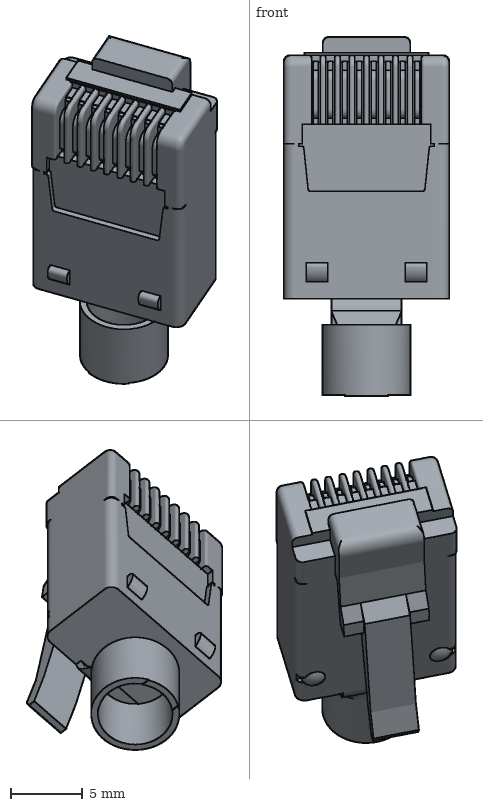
import cadquery as cq
import math


BODY_WIDTH = 11.67
BODY_DEPTH = 6.6
BODY_BOTTOM = 6.85
BODY_TOP = 24.02
UPPER_CORNER_R = 0.48
LOWER_CORNER_R = 0.7
FRONT_CORNER_STEP_Z = 17.77
BACK_CORNER_STEP_Z = 20.43
TOP_FRONT_R = 0.8
SHELF_Y = 5.15
SHELF_Z = 23.0

PLATE_WIDTH = 8.75
PLATE_FRONT_Y = 3.1
PLATE_TOP = 24.2

CONTACT_COUNT = 8
CONTACT_SPAN = 7.15
CONTACT_PITCH = CONTACT_SPAN / (CONTACT_COUNT - 1)
SLOT_WIDTH = 0.6
SLOT_BACK_Y = 2.99
SLOT_SHELF_Y = 1.85
SLOT_SHELF_Z = 23.55
SLOT_EDGE_R = 0.18
CONTACT_WIDTH = 0.35
CONTACT_FRONT_Y = 0.45
CONTACT_UPPER_R = 0.68
CONTACT_UPPER_Z = 22.95
CONTACT_LOWER_R = 0.6
CONTACT_LOWER_Z = 19.6
CONTACT_TOP = 23.6
CONTACT_POST_Y = 1.45

RECESS_DEPTH = 0.45
RECESS_TOP = 19.15
RECESS_BOTTOM = 14.43
RECESS_TOP_WIDTH = 9.05
RECESS_TAPER_WIDTH = 8.85
RECESS_BOTTOM_WIDTH = 8.2
RECESS_CORNER_R = 0.2
NOTCH_CORNER_R = 0.15
NOTCH_WIDTH = 9.55
NOTCH_HEIGHT = 0.15

LATCH_TOP = 25.3
LATCH_WIDTH = 6.18
LATCH_FRONT_Y = 4.65
LATCH_BACK_Y = 7.85
LATCH_BASE_Z = 21.03
LATCH_BACK_R = 0.94
LATCH_SIDE_R = 0.45
LATCH_ROOT_R = 0.15
LEVER_WIDTH = 3.3
SHOULDER_Z = 17.13
LATCH_BACK_FOOT = (LATCH_BACK_Y, 22.02)
LATCH_NECK_BACK = (8.28, 19.24)
LATCH_INNER_ROOT = (7.26, LATCH_BASE_Z)
LATCH_INNER_SHOULDER = (8.18, SHOULDER_Z)
SHOULDER_UPPER = (9.2, 18.27)
SHOULDER_LOWER = (9.35, SHOULDER_Z)
LEVER_TOP_BACK = (9.55, 18.4)
LEVER_BEND_BACK = (11.3, 10.35)
LEVER_BEND_INNER = (10.48, 10.1)
LEVER_TIP_BACK = (12.17, 8.45)
LEVER_END_Z = 7.95
LEVER_END_BACK = (11.97, LEVER_END_Z)
LEVER_END_INNER = (11.45, LEVER_END_Z)

FERRULE_R = 3.11
FERRULE_WALL = 0.48
FERRULE_Y = 3.21
FERRULE_TOP = 5.04
LIP_HEIGHT = 0.08
LIP_WIDTH = 3.04
LIP_BACK_Y = 1.11
NECK_WIDTH = 4.95
NECK_TOP_FRONT_Y = 6.13
NECK_BEND_FRONT = (5.9, 6.33)
NECK_BEND_BACK = (6.5, 6.48)
NECK_END_Z = 6.02
NECK_FRONT_Y = 5.82
NECK_BACK_Y = 6.33
SCOOP_FRONT_Y = 4.85
SCOOP_FRONT_WIDTH = 4.15

HOOK_X = 3.5
HOOK_WIDTH = 1.5
HOOK_TOP = 9.4
HOOK_BOTTOM = 8.07
HOOK_REACH = 0.53
HOOK_TIP_R = 0.28
HOOK_BELLY = (-0.35, 8.43)
BUTTON_X = 4.55
BUTTON_Z = 9.21
BUTTON_R = 0.75
BUTTON_HEIGHT = 0.25
GROOVE_HEIGHT = 0.58
GROOVE_DEPTH = 0.48

OVERLAP = 0.13


def box(width, y_range, z_range, x=0):
    """Block centred on x, between two Y values and two Z values."""
    depth = y_range[1] - y_range[0]
    height = z_range[1] - z_range[0]
    corner = (x - width / 2, y_range[0], z_range[0])
    return cq.Workplane("XY").box(width, depth, height, centered=False).translate(corner)


def extrude_side(profile, width, x=0):
    """Extrude a closed (Y, Z) profile to a width centred on x."""
    return profile.close().extrude(width / 2, both=True).translate((x, 0, 0))


def housing():
    full_width = BODY_WIDTH + 0.25
    body = box(BODY_WIDTH, (0, BODY_DEPTH), (BODY_BOTTOM, BODY_TOP))
    lower = body.edges("|Z").fillet(LOWER_CORNER_R)
    upper = body.edges(">Z and <Y").fillet(TOP_FRONT_R)
    upper = upper.faces("<X or >X").edges("not(<Z or >Y)").fillet(UPPER_CORNER_R)
    upper = upper.edges("|Z and >Y").fillet(UPPER_CORNER_R)
    middle_y = BODY_DEPTH / 2
    front_lower = box(full_width, (-0.25, middle_y), (BODY_BOTTOM, FRONT_CORNER_STEP_Z))
    back_lower = box(full_width, (middle_y, BODY_DEPTH + 0.25), (BODY_BOTTOM, BACK_CORNER_STEP_Z))
    lower_zone = front_lower.union(back_lower)
    solid = upper.cut(lower_zone).union(lower.intersect(lower_zone))
    shelf = box(full_width, (SHELF_Y, BODY_DEPTH + 0.25), (SHELF_Z, BODY_TOP + 0.25))
    return solid.cut(shelf)


def contact_x_positions():
    return [i * CONTACT_PITCH - CONTACT_SPAN / 2 for i in range(CONTACT_COUNT)]


def cut_slots(body):
    for x in contact_x_positions():
        body = body.cut(box(SLOT_WIDTH, (-0.25, SLOT_SHELF_Y), (RECESS_TOP, BODY_TOP + 0.25), x))
        body = body.cut(box(SLOT_WIDTH, (-0.25, SLOT_BACK_Y), (SLOT_SHELF_Z, BODY_TOP + 0.25), x))
    half_span = (CONTACT_SPAN + SLOT_WIDTH) / 2 + 0.03
    top_zone = cq.selectors.BoxSelector(
        (-half_span, -0.25, BODY_TOP - 0.03), (half_span, SLOT_BACK_Y, BODY_TOP + 0.25))
    arc_zone = cq.selectors.BoxSelector(
        (-half_span, -0.25, BODY_TOP - TOP_FRONT_R), (half_span, TOP_FRONT_R / 2, BODY_TOP))
    front_zone = cq.selectors.BoxSelector(
        (-half_span, -0.03, RECESS_TOP), (half_span, 0.03, BODY_TOP - TOP_FRONT_R))
    mouth = (body.edges("|Y").edges(top_zone)
             .add(body.edges("%CIRCLE").edges(arc_zone))
             .add(body.edges("|Z").edges(front_zone)))
    return mouth.fillet(SLOT_EDGE_R)


def recess():
    half_top = RECESS_TOP_WIDTH / 2
    half_taper = RECESS_TAPER_WIDTH / 2
    half_bottom = RECESS_BOTTOM_WIDTH / 2
    notch_bottom = FRONT_CORNER_STEP_Z - NOTCH_HEIGHT
    pocket = (cq.Workplane("XZ")
              .moveTo(-half_bottom, RECESS_BOTTOM)
              .lineTo(half_bottom, RECESS_BOTTOM)
              .lineTo(half_taper, notch_bottom)
              .lineTo(half_top, FRONT_CORNER_STEP_Z)
              .lineTo(half_top, RECESS_TOP)
              .lineTo(-half_top, RECESS_TOP)
              .lineTo(-half_top, FRONT_CORNER_STEP_Z)
              .lineTo(-half_taper, notch_bottom)
              .close().extrude(-RECESS_DEPTH))
    pocket = pocket.edges("|Y and <Z").fillet(RECESS_CORNER_R)
    notch = box(NOTCH_WIDTH, (0, RECESS_DEPTH), (notch_bottom, FRONT_CORNER_STEP_Z))
    pocket = pocket.union(notch)
    for side in (-1, 1):
        corner = (side * half_taper, RECESS_DEPTH / 2, notch_bottom)
        pocket = pocket.edges(cq.selectors.NearestToPointSelector(corner)).fillet(NOTCH_CORNER_R)
    return pocket


def contact(x):
    back = SLOT_SHELF_Y
    upper_y = CONTACT_FRONT_Y + CONTACT_UPPER_R
    lower_y = CONTACT_FRONT_Y + CONTACT_LOWER_R
    profile = (cq.Workplane("YZ")
               .moveTo(back, RECESS_TOP - OVERLAP)
               .lineTo(lower_y, RECESS_TOP - OVERLAP)
               .lineTo(lower_y, CONTACT_LOWER_Z)
               .radiusArc((CONTACT_FRONT_Y, CONTACT_LOWER_Z + CONTACT_LOWER_R), CONTACT_LOWER_R)
               .lineTo(CONTACT_FRONT_Y, CONTACT_UPPER_Z - CONTACT_UPPER_R)
               .radiusArc((upper_y, CONTACT_UPPER_Z), CONTACT_UPPER_R)
               .lineTo(CONTACT_POST_Y, CONTACT_UPPER_Z)
               .lineTo(CONTACT_POST_Y, CONTACT_TOP)
               .lineTo(back, CONTACT_TOP))
    return extrude_side(profile, CONTACT_WIDTH, x)


def latch():
    root_y = BODY_DEPTH - OVERLAP
    block_profile = (cq.Workplane("YZ")
                     .moveTo(LATCH_FRONT_Y, SHELF_Z)
                     .lineTo(LATCH_FRONT_Y, LATCH_TOP)
                     .lineTo(LATCH_BACK_Y - LATCH_BACK_R, LATCH_TOP)
                     .radiusArc((LATCH_BACK_Y, LATCH_TOP - LATCH_BACK_R), LATCH_BACK_R)
                     .lineTo(*LATCH_BACK_FOOT)
                     .lineTo(*LATCH_NECK_BACK)
                     .lineTo(*SHOULDER_UPPER)
                     .lineTo(*SHOULDER_LOWER)
                     .lineTo(*LATCH_INNER_SHOULDER)
                     .lineTo(*LATCH_INNER_ROOT)
                     .lineTo(root_y, LATCH_BASE_Z)
                     .lineTo(root_y, SHELF_Z))
    envelope = box(LATCH_WIDTH, (0, 2 * LATCH_BACK_Y), (0, LATCH_TOP))
    envelope = envelope.edges("|Y and >Z").fillet(LATCH_SIDE_R)
    wide_part = extrude_side(block_profile, LATCH_WIDTH).intersect(envelope)
    root_corner = cq.selectors.NearestToPointSelector((0, *LATCH_INNER_ROOT))
    wide_part = wide_part.edges(root_corner).fillet(LATCH_ROOT_R)

    lever_profile = (cq.Workplane("YZ")
                     .moveTo(*LATCH_NECK_BACK)
                     .lineTo(*LEVER_TOP_BACK)
                     .lineTo(*LEVER_BEND_BACK)
                     .lineTo(*LEVER_TIP_BACK)
                     .lineTo(*LEVER_END_BACK)
                     .lineTo(*LEVER_END_INNER)
                     .lineTo(*LEVER_BEND_INNER)
                     .lineTo(*LATCH_INNER_SHOULDER))
    lever = extrude_side(lever_profile, LEVER_WIDTH)
    return lever.union(wide_part)


def ferrule():
    tube = (cq.Workplane("XY").circle(FERRULE_R).circle(FERRULE_R - FERRULE_WALL)
            .extrude(FERRULE_TOP).translate((0, FERRULE_Y, 0)))
    trim = box(3 * FERRULE_R, (-0.25, 3 * FERRULE_R), (0, LIP_HEIGHT))
    trim = trim.cut(box(LIP_WIDTH, (-0.25, LIP_BACK_Y), (0, LIP_HEIGHT)))
    return tube.cut(trim)


def neck():
    bend = (cq.Workplane("YZ")
            .moveTo(NECK_TOP_FRONT_Y, BODY_BOTTOM + OVERLAP)
            .lineTo(NECK_TOP_FRONT_Y, BODY_BOTTOM)
            .lineTo(*NECK_BEND_FRONT)
            .lineTo(NECK_FRONT_Y, NECK_END_Z)
            .lineTo(NECK_BACK_Y, NECK_END_Z)
            .lineTo(*NECK_BEND_BACK)
            .lineTo(BODY_DEPTH, BODY_BOTTOM)
            .lineTo(BODY_DEPTH, BODY_BOTTOM + OVERLAP))
    strip = extrude_side(bend, NECK_WIDTH)
    half_neck = NECK_WIDTH / 2
    half_front = SCOOP_FRONT_WIDTH / 2
    side_y = FERRULE_Y + math.sqrt(FERRULE_R**2 - half_neck**2)
    scoop = (cq.Workplane("XY").workplane(offset=FERRULE_TOP)
             .moveTo(-half_front, SCOOP_FRONT_Y)
             .lineTo(half_front, SCOOP_FRONT_Y)
             .lineTo(half_neck, side_y)
             .threePointArc((0, FERRULE_Y + FERRULE_R), (-half_neck, side_y))
             .close()
             .workplane(offset=NECK_END_Z - FERRULE_TOP)
             .moveTo(-half_neck, NECK_FRONT_Y)
             .lineTo(half_neck, NECK_FRONT_Y)
             .lineTo(half_neck, NECK_BACK_Y)
             .lineTo(-half_neck, NECK_BACK_Y)
             .close()
             .loft(ruled=True))
    return strip.union(scoop)


def hook(x):
    profile = (cq.Workplane("YZ")
               .moveTo(OVERLAP, HOOK_TOP)
               .lineTo(HOOK_TIP_R - HOOK_REACH, HOOK_TOP)
               .radiusArc((-HOOK_REACH, HOOK_TOP - HOOK_TIP_R), -HOOK_TIP_R)
               .threePointArc(HOOK_BELLY, (0, HOOK_BOTTOM))
               .lineTo(OVERLAP, HOOK_BOTTOM))
    return extrude_side(profile, HOOK_WIDTH, x)


def button_groove(side):
    """Groove that runs from a button out to the side of the housing."""
    length = BODY_WIDTH / 2 - BUTTON_X + 0.25
    z_range = (BUTTON_Z - GROOVE_HEIGHT / 2, BUTTON_Z + GROOVE_HEIGHT / 2)
    y_range = (BODY_DEPTH - GROOVE_DEPTH, BODY_DEPTH + 0.25)
    return box(length, y_range, z_range, side * (BUTTON_X + length / 2))


def button(side):
    """Low dome on the back face."""
    sphere_r = (BUTTON_R**2 + BUTTON_HEIGHT**2) / (2 * BUTTON_HEIGHT)
    centre_y = BODY_DEPTH + BUTTON_HEIGHT - sphere_r
    sphere = cq.Workplane("XY").sphere(sphere_r).translate((side * BUTTON_X, centre_y, BUTTON_Z))
    keep = box(2 * sphere_r, (BODY_DEPTH - OVERLAP, BODY_DEPTH + sphere_r),
               (BUTTON_Z - sphere_r, BUTTON_Z + sphere_r), side * BUTTON_X)
    return sphere.intersect(keep)


result = cut_slots(housing()).cut(recess())
for contact_x in contact_x_positions():
    result = result.union(contact(contact_x))
result = result.union(box(PLATE_WIDTH, (PLATE_FRONT_Y, SHELF_Y), (SHELF_Z, PLATE_TOP)))
result = result.union(latch())
for direction in (-1, 1):
    result = result.union(hook(direction * HOOK_X))
    result = result.cut(button_groove(direction))
    result = result.union(button(direction))
result = result.union(neck()).union(ferrule())